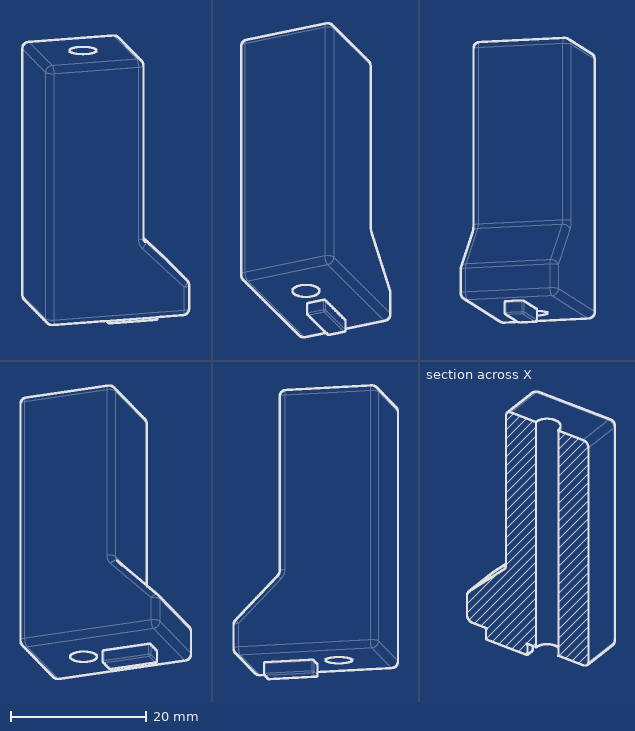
import cadquery as cq

total_height = 42.0
width = 15.0
column_depth = 15.0
foot_depth = 22.0
edge_radius = 1.0

foot_edge_height = 5.0
foot_slope_rise = foot_depth - column_depth

hole_diameter = 4.0

key_height = 2.0
key_width = 3.0
key_length = 7.6
key_start = 11.0
key_edge_radius = 0.25

body_height = total_height - key_height


def make_body():
    """Column with a sloped foot, rounded on every edge."""
    profile = [
        (0, 0),
        (foot_depth, 0),
        (foot_depth, foot_edge_height),
        (column_depth, foot_edge_height + foot_slope_rise),
        (column_depth, body_height),
        (0, body_height),
    ]
    body = cq.Workplane("YZ").polyline(profile).close().extrude(width / 2, both=True)
    return body.edges().fillet(edge_radius)


def make_key():
    """Key rounded on every edge, its flat top face joined to the underside of the body."""
    return (
        cq.Workplane("XY")
        .box(key_width, key_length, key_height, centered=(True, False, False))
        .edges()
        .fillet(key_edge_radius)
        .translate((0, key_start, -key_height))
    )


def make_hole():
    """Cylinder that cuts the through hole."""
    return (
        cq.Workplane("XY")
        .center(0, column_depth / 2)
        .circle(hole_diameter / 2)
        .extrude(body_height)
    )


result = make_body().union(make_key()).cut(make_hole())